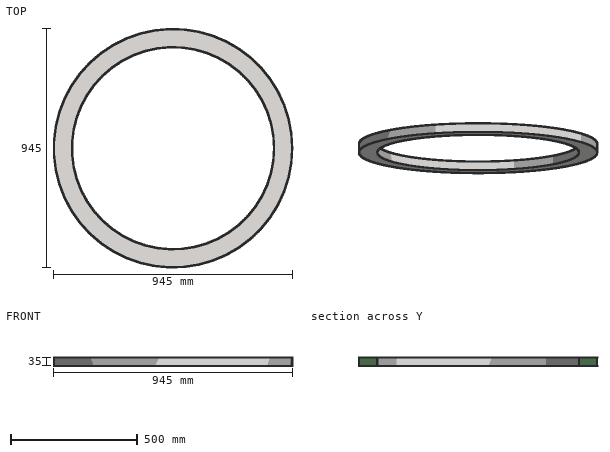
import cadquery as cq

outer_diameter = 945.0
bore_diameter = 799.0
thickness = 35.0

result = (
    cq.Workplane("XY")
    .circle(outer_diameter / 2)
    .circle(bore_diameter / 2)
    .extrude(thickness)
)